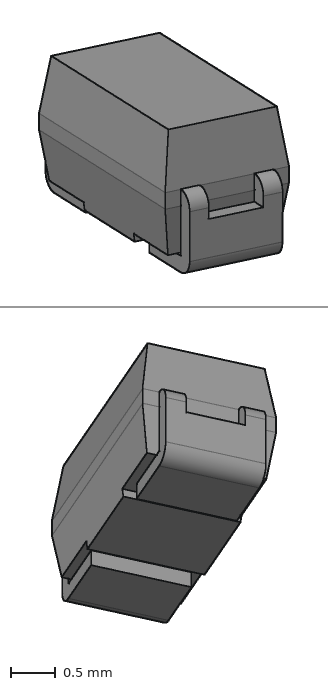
import cadquery as cq

total_length = 3.2
total_height = 1.7

body_length = 2.8
body_width = 1.6
band_bottom = 0.8
band_top = 1.0
body_bottom = 0.1
top_inset = 0.1
bottom_inset = 0.1

pad_length = 1.11

lead_thickness = (total_length - body_length) / 2
lead_width = 1.2
foot_length = 0.9
notch_width = 0.705
notch_floor = 0.66


def tapered_half(z_start, z_end, inset):
    """Frustum growing from the full body section to a section inset on all sides."""
    return (
        cq.Workplane("XY", origin=(0, 0, z_start))
        .rect(body_length, body_width)
        .workplane(offset=z_end - z_start)
        .rect(body_length - 2 * inset, body_width - 2 * inset)
        .loft(ruled=True)
    )


def make_body():
    band = (
        cq.Workplane("XY", origin=(0, 0, band_bottom))
        .rect(body_length, body_width)
        .extrude(band_top - band_bottom)
    )
    upper = tapered_half(band_top, total_height, top_inset)
    lower = tapered_half(band_bottom, body_bottom, bottom_inset)
    relief_length = (body_length - pad_length) / 2
    relief_center = (body_length + pad_length) / 4
    reliefs = (
        cq.Workplane("XY")
        .pushPoints([(-relief_center, 0), (relief_center, 0)])
        .rect(relief_length, body_width)
        .extrude(lead_thickness)
    )
    return band.union(upper).union(lower).cut(reliefs)


def make_left_lead():
    """C-shaped lead: upright plate with rounded outer corners and a foot turned inward."""
    outer_x = -total_length / 2
    inner_x = -body_length / 2
    profile = (
        cq.Workplane("XZ")
        .moveTo(outer_x + foot_length, 0)
        .lineTo(inner_x, 0)
        .radiusArc((outer_x, lead_thickness), lead_thickness)
        .lineTo(outer_x, band_top - lead_thickness)
        .radiusArc((inner_x, band_top), lead_thickness)
        .lineTo(inner_x, lead_thickness)
        .lineTo(outer_x + foot_length, lead_thickness)
        .close()
    )
    plate = profile.extrude(lead_width / 2, both=True)
    notch = (
        cq.Workplane("XY", origin=((outer_x + inner_x) / 2, 0, notch_floor))
        .rect(lead_thickness, notch_width)
        .extrude(band_top - notch_floor)
    )
    return plate.cut(notch)


left_lead = make_left_lead()
right_lead = left_lead.mirror("YZ")
result = make_body().union(left_lead).union(right_lead)